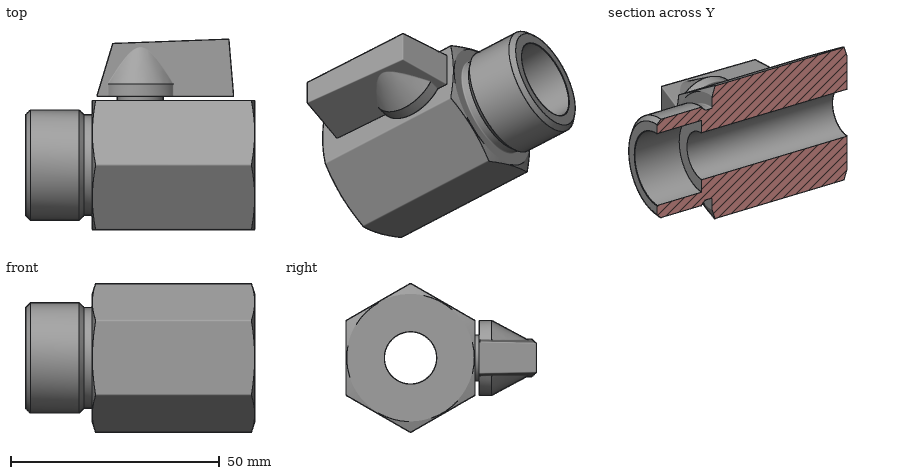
import cadquery as cq
import math


hex_half_angle = 30
total_length = 55.0
hex_start = 15.95
across_flats = 31.0
flat_y = across_flats / 2
across_corners = across_flats / math.cos(math.radians(hex_half_angle))
hex_edge_radius = 0.5
end_face_radius = 15.3
end_cone_depth = 0.8
end_cone_radius = 17.8

pipe_radius = 13.25
pipe_end = 12.85
pipe_chamfer = 1.15
groove_radius = pipe_radius - pipe_chamfer
groove_start = pipe_end + pipe_chamfer
groove_fillet = 0.3

through_diameter = 12.5
mouth_diameter = 19.15
mouth_depth = 12.9
mouth_chamfer = 0.1

stem_x = 27.5
stem_radius = 5.55
handle_base_y = 16.45
handle_peak_y = 30.25
handle_low_y = 29.2
handle_base_left = 17.05
handle_base_right = 49.95
handle_top_left = 20.9
handle_top_right = 48.8
handle_left_base_width = 9.95
handle_right_base_width = 7.75
handle_draft = 0.65
handle_edge_radius = 0.3

hub_radius = 9.0
hub_shoulder_y = 19.45
hub_cone_top_y = 28.3
hub_cone_angle = 28.2
shoulder_tolerance = 0.05


def body():
    """Hexagonal bar with rounded long edges, its ends turned to a shallow cone."""
    hexagon = (
        cq.Workplane("YZ", origin=(hex_start, 0, 0))
        .polygon(6, across_corners)
        .extrude(total_length - hex_start)
        .rotate((0, 0, 0), (1, 0, 0), hex_half_angle)
        .edges("|X")
        .fillet(hex_edge_radius)
    )
    turned_outline = (
        cq.Workplane("XY")
        .moveTo(hex_start, 0)
        .lineTo(hex_start, end_face_radius)
        .lineTo(hex_start + end_cone_depth, end_cone_radius)
        .lineTo(hex_start + end_cone_depth, across_corners)
        .lineTo(total_length - end_cone_depth, across_corners)
        .lineTo(total_length - end_cone_depth, end_cone_radius)
        .lineTo(total_length, end_face_radius)
        .lineTo(total_length, 0)
        .close()
    )
    return hexagon.intersect(turned_outline.revolve(360, (0, 0, 0), (1, 0, 0)))


def pipe_end_stub():
    """Chamfered pipe end with an undercut groove that is rounded into the body."""
    outline = (
        cq.Workplane("XY")
        .moveTo(0, 0)
        .lineTo(0, pipe_radius - pipe_chamfer)
        .lineTo(pipe_chamfer, pipe_radius)
        .lineTo(pipe_end, pipe_radius)
        .lineTo(groove_start, groove_radius)
        .lineTo(hex_start - groove_fillet, groove_radius)
        .radiusArc((hex_start, groove_radius + groove_fillet), -groove_fillet)
        .lineTo(hex_start, 0)
        .close()
    )
    return outline.revolve(360, (0, 0, 0), (1, 0, 0))


def bores():
    """Through bore, opened out at the pipe end."""
    through = cq.Workplane("YZ").circle(through_diameter / 2).extrude(total_length)
    mouth = cq.Workplane("YZ").circle(mouth_diameter / 2).extrude(mouth_depth)
    lead_in = cq.Workplane("YZ").circle(mouth_diameter / 2 + mouth_chamfer).extrude(mouth_chamfer, taper=45)
    return through.union(mouth).union(lead_in)


def blade_section(base_width):
    """Corner points (Y, Z) of the drafted blade section."""
    base_half = base_width / 2
    peak_half = (base_width - handle_draft) / 2
    return [
        (handle_base_y, -base_half),
        (handle_peak_y, -peak_half),
        (handle_peak_y, peak_half),
        (handle_base_y, base_half),
    ]


def blade():
    """Handle blade, thinner toward +X and toward its outer edge."""
    profile = (
        cq.Workplane("XY")
        .polyline([
            (handle_base_left, handle_base_y),
            (handle_base_right, handle_base_y),
            (handle_top_right, handle_peak_y),
            (handle_top_left, handle_low_y),
        ])
        .close()
        .extrude(handle_left_base_width, both=True)
    )
    wedge = (
        cq.Workplane("YZ", origin=(handle_base_left, 0, 0))
        .polyline(blade_section(handle_left_base_width))
        .close()
        .workplane(offset=handle_base_right - handle_base_left)
        .polyline(blade_section(handle_right_base_width))
        .close()
        .loft(ruled=True)
    )
    return profile.intersect(wedge)


def hub():
    """Round hub: a short cylinder that turns into a cone running into the blade."""
    cone_top_radius = hub_radius - (hub_cone_top_y - hub_shoulder_y) * math.tan(math.radians(hub_cone_angle))
    outline = (
        cq.Workplane("XY")
        .moveTo(stem_x, handle_base_y)
        .lineTo(stem_x + hub_radius, handle_base_y)
        .lineTo(stem_x + hub_radius, hub_shoulder_y)
        .lineTo(stem_x + cone_top_radius, hub_cone_top_y)
        .lineTo(stem_x, hub_cone_top_y)
        .close()
    )
    return outline.revolve(360, (stem_x, 0, 0), (stem_x, 1, 0))


def handle():
    """Blade and hub as one piece, every edge rounded except the ring where the hub turns into a cone."""
    sharp_handle = blade().union(hub())
    rounded_edges = sharp_handle.edges().filter(
        lambda edge: abs(edge.Center().y - hub_shoulder_y) > shoulder_tolerance
    )
    return rounded_edges.fillet(handle_edge_radius)


def stem():
    """Stem from midway through the body wall up into the handle."""
    stem_foot_y = (through_diameter / 2 + flat_y) / 2
    return (
        cq.Workplane("XZ", origin=(stem_x, stem_foot_y, 0))
        .circle(stem_radius)
        .extrude(-(hub_shoulder_y - stem_foot_y))
    )


result = body().union(pipe_end_stub()).cut(bores()).union(stem()).union(handle())